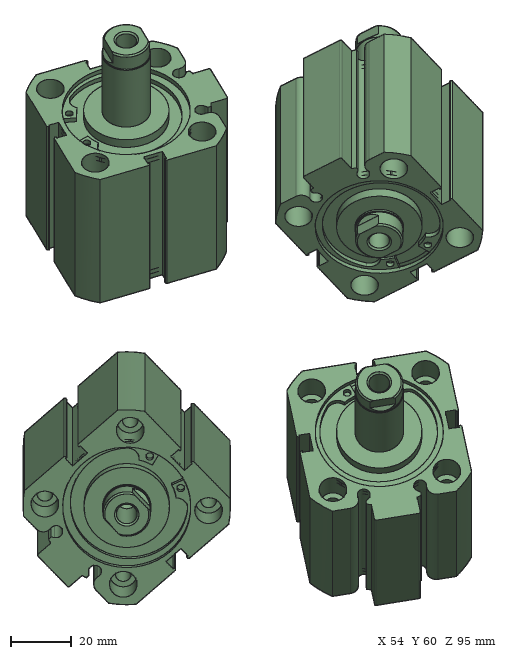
import cadquery as cq
import math


housing_height = 56.0
half_width = 27.0
corner_radius = 34.0
tab_half_width = 7.65
tab_top_y = 33.0
tab_edge_radius = 0.5

groove_x = 9.4
groove_y = 22.75
groove_radius = 2.1
groove_shoulder_x = 14.6
groove_shoulder_radius = 3.2
lip_x = 9.15
lip_bottom_y = 25.3
lip_top_y = 26.4
lip_root_y = 26.9
lip_groove_x = 8.35

slot_half_width = 3.3
slot_floor = 22.65
slot_lip_thickness = 0.9
slot_mouth_half_width = 2.7
slot_mouth_chamfer = 0.4

mount_offset = 19.0
mount_radius = 2.6
counterbore_radius = 4.5
counterbore_depth = 10.0

bore_radius = 20.0
recess_radius = 21.0
ring_groove_radius = 22.38

cover_boss_height = 3.5
cover_boss_radius = 14.0
cover_flange_thickness = 8.0
recess_depth = cover_boss_height + cover_flange_thickness

ring_thickness = 1.75
ring_top_depth = cover_boss_height - ring_thickness
ring_inner_radius = 19.3
ring_inner_shift = -1.1
ear_inner_radius = 16.4
ear_gap_angle = 16.7
ear_corner_angle = 33.3
ear_hole_radius = 1.25
ear_hole_x = 7.5
ear_hole_y = -17.15
relief_radius = 3.5
relief_angle = 41.0

rod_radius = 8.0
rod_top_z = housing_height + 32.0
rod_bottom_z = -7.0
rod_end_length = 6.0
rod_end_radius = 7.75
shoulder_chamfer = rod_radius - rod_end_radius
rod_end_chamfer = 0.55
flat_length = 4.35
flat_half_distance = 6.5
thread_hole_radius = 3.4
thread_hole_depth = 15.0
thread_mouth_radius = 4.0
drill_half_angle = 59.0


def other_end(body, middle_z):
    """Mirror image of a body across the horizontal plane at middle_z."""
    return body.mirror("XY", (0, 0, middle_z))


def housing_blank():
    square = cq.Workplane("XY").rect(2 * half_width, 2 * half_width).extrude(housing_height)
    turned = cq.Workplane("XY").circle(corner_radius).extrude(housing_height)
    tab = (
        cq.Workplane("XY")
        .moveTo(-tab_half_width, 0)
        .lineTo(-tab_half_width, tab_top_y)
        .lineTo(tab_half_width, tab_top_y)
        .lineTo(tab_half_width, 0)
        .close()
        .extrude(housing_height)
        .faces(">Y")
        .edges("|Z")
        .fillet(tab_edge_radius)
    )
    return square.intersect(turned).union(tab)


def sensor_groove():
    """Cutter for the groove on the +X side of the tab."""
    shoulder_end_x = groove_shoulder_x - groove_shoulder_radius
    shoulder_centre_y = half_width - groove_shoulder_radius
    shoulder_mid = groove_shoulder_radius * math.sqrt(0.5)
    wall_end_y = groove_y + math.sqrt(groove_radius**2 - (shoulder_end_x - groove_x) ** 2)
    lip_end_y = groove_y + math.sqrt(groove_radius**2 - (lip_groove_x - groove_x) ** 2)
    return (
        cq.Workplane("XY")
        .moveTo(tab_half_width, half_width)
        .lineTo(tab_half_width, lip_root_y)
        .lineTo(lip_x, lip_top_y)
        .lineTo(lip_x, lip_bottom_y)
        .lineTo(lip_groove_x, lip_end_y)
        .threePointArc((groove_x, groove_y - groove_radius), (shoulder_end_x, wall_end_y))
        .lineTo(shoulder_end_x, shoulder_centre_y)
        .threePointArc(
            (groove_shoulder_x - shoulder_mid, shoulder_centre_y + shoulder_mid),
            (groove_shoulder_x, half_width),
        )
        .close()
        .extrude(housing_height)
    )


def side_slot():
    """Cutter for the lipped slot in the -Y side."""
    lip_y = -half_width + slot_lip_thickness
    right_side = [
        (slot_half_width, -slot_floor),
        (slot_half_width, lip_y),
        (slot_mouth_half_width, lip_y),
        (slot_mouth_half_width, -half_width + slot_mouth_chamfer),
        (slot_mouth_half_width + slot_mouth_chamfer, -half_width),
    ]
    left_side = [(-x, y) for x, y in reversed(right_side)]
    return cq.Workplane("XY").polyline(right_side + left_side).close().extrude(housing_height)


def mounting_holes():
    spots = [(x, y) for x in (-mount_offset, mount_offset) for y in (-mount_offset, mount_offset)]
    holes = cq.Workplane("XY").pushPoints(spots).circle(mount_radius).extrude(housing_height)
    lower = cq.Workplane("XY").pushPoints(spots).circle(counterbore_radius).extrude(counterbore_depth)
    return holes.union(lower).union(other_end(lower, housing_height / 2))


def bore():
    half_profile = [
        (0, housing_height / 2),
        (bore_radius, housing_height / 2),
        (bore_radius, recess_depth),
        (recess_radius, recess_depth),
        (recess_radius, cover_boss_height),
        (ring_groove_radius, cover_boss_height),
        (ring_groove_radius, ring_top_depth),
        (recess_radius, ring_top_depth),
        (recess_radius, 0),
        (0, 0),
    ]
    lower = cq.Workplane("XZ").polyline(half_profile).close().revolve(360, (0, 0, 0), (0, 1, 0))
    return lower.union(other_end(lower, housing_height / 2))


def make_housing():
    groove = sensor_groove()
    body = housing_blank().cut(groove).cut(groove.mirror("YZ"))
    slot = side_slot()
    for turn in (-90, 0, 90):
        body = body.cut(slot.rotate((0, 0, 0), (0, 0, 1), turn))
    return body.cut(mounting_holes()).cut(bore())


def make_cover():
    """Upper end cover: a flange in the recess and a boss that ends level with the housing."""
    return (
        cq.Workplane("XY")
        .workplane(offset=housing_height - recess_depth)
        .circle(recess_radius)
        .extrude(cover_flange_thickness)
        .faces(">Z")
        .workplane()
        .circle(cover_boss_radius)
        .extrude(cover_boss_height)
        .faces(">Z")
        .workplane()
        .circle(rod_radius)
        .cutThruAll()
    )


def from_gap(radius, angle):
    """Point on the +X side, at an angle from the -Y axis."""
    return (radius * math.sin(math.radians(angle)), -radius * math.cos(math.radians(angle)))


def flipped(point):
    return (-point[0], point[1])


def make_ring():
    """Upper retaining ring: an eccentric ring with an ear on each side of its gap."""
    gap_outer = from_gap(ring_groove_radius, ear_gap_angle)
    gap_inner = from_gap(ear_inner_radius, ear_gap_angle)
    ear_middle = from_gap(ear_inner_radius, (ear_gap_angle + ear_corner_angle) / 2)
    ear_corner = from_gap(ear_inner_radius, ear_corner_angle)
    relief_cos = math.cos(math.radians(relief_angle))
    relief_sin = math.sin(math.radians(relief_angle))
    relief_distance = ring_inner_radius - relief_radius
    relief_low = (
        relief_distance * relief_cos,
        ring_inner_shift - relief_distance * relief_sin - relief_radius,
    )
    relief_end = (ring_inner_radius * relief_cos, ring_inner_shift - ring_inner_radius * relief_sin)
    return (
        cq.Workplane("XY")
        .workplane(offset=housing_height - cover_boss_height)
        .moveTo(*gap_outer)
        .lineTo(*gap_inner)
        .threePointArc(ear_middle, ear_corner)
        .threePointArc(relief_low, relief_end)
        .threePointArc((0, ring_inner_shift + ring_inner_radius), flipped(relief_end))
        .threePointArc(flipped(relief_low), flipped(ear_corner))
        .threePointArc(flipped(ear_middle), flipped(gap_inner))
        .lineTo(*flipped(gap_outer))
        .threePointArc((0, ring_groove_radius), gap_outer)
        .close()
        .extrude(ring_thickness)
        .faces(">Z")
        .workplane(origin=(0, 0, 0))
        .pushPoints([(ear_hole_x, ear_hole_y), (-ear_hole_x, ear_hole_y)])
        .circle(ear_hole_radius)
        .cutThruAll()
    )


def flat_cutter(top_z):
    """Cutter for the wrench flat on the -Y side of the upper end, with a 45 degree run-out."""
    run_out = rod_radius - flat_half_distance
    flat_z = top_z - flat_length
    return (
        cq.Workplane("YZ")
        .moveTo(-flat_half_distance, top_z)
        .lineTo(-flat_half_distance, flat_z)
        .lineTo(-rod_radius, flat_z - run_out)
        .lineTo(-rod_radius, top_z)
        .close()
        .extrude(rod_radius, both=True)
    )


def thread_hole(top_z):
    mouth_depth = thread_mouth_radius - thread_hole_radius
    floor_z = top_z - thread_hole_depth
    tip_z = floor_z - thread_hole_radius / math.tan(math.radians(drill_half_angle))
    profile = [
        (0, top_z),
        (thread_mouth_radius, top_z),
        (thread_hole_radius, top_z - mouth_depth),
        (thread_hole_radius, floor_z),
        (0, tip_z),
    ]
    return cq.Workplane("XZ").polyline(profile).close().revolve(360, (0, 0, 0), (0, 1, 0))


def make_rod():
    middle_z = (rod_top_z + rod_bottom_z) / 2
    shoulder_z = rod_top_z - rod_end_length
    profile = [
        (0, middle_z),
        (rod_radius, middle_z),
        (rod_radius, shoulder_z - shoulder_chamfer),
        (rod_end_radius, shoulder_z),
        (rod_end_radius, rod_top_z - rod_end_chamfer),
        (rod_end_radius - rod_end_chamfer, rod_top_z),
        (0, rod_top_z),
    ]
    flat = flat_cutter(rod_top_z)
    upper = (
        cq.Workplane("XZ")
        .polyline(profile)
        .close()
        .revolve(360, (0, 0, 0), (0, 1, 0))
        .cut(flat)
        .cut(flat.mirror("XZ"))
        .cut(thread_hole(rod_top_z))
    )
    return upper.union(other_end(upper, middle_z))


housing = make_housing()
rod = make_rod()
upper_cover = make_cover()
upper_ring = make_ring()
covers = [upper_cover, other_end(upper_cover, housing_height / 2)]
rings = [upper_ring, other_end(upper_ring, housing_height / 2)]

result = cq.Compound.makeCompound([body.val() for body in [housing, rod, *covers, *rings]])